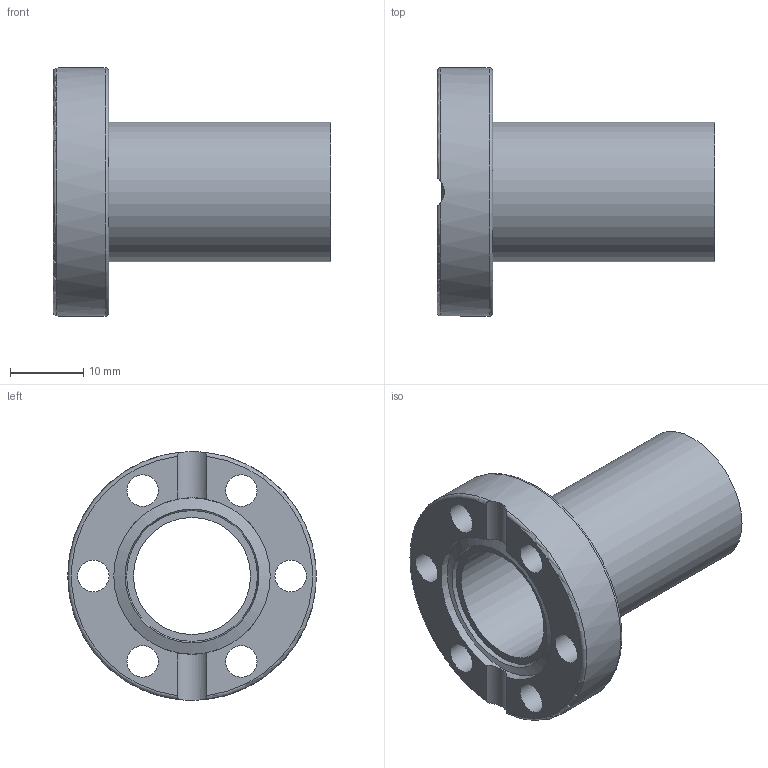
import cadquery as cq

total_length = 38.0
flange_diameter = 34.0
flange_thickness = 7.6
flange_edge_radius = 0.5
tube_diameter = 19.05
bore_diameter = 16.0

recess_diameter = 21.4
recess_depth = 1.2
knife_edge_diameter = 18.3
knife_edge_depth = 0.62
knife_base_diameter = 17.9
knife_base_depth = recess_depth

bolt_count = 6
bolt_circle_diameter = 27.0
bolt_hole_diameter = 4.3

groove_width = 4.0
groove_depth = 1.0
groove_radius = (groove_width**2 / 4 + groove_depth**2) / (2 * groove_depth)


def make_body():
    """Flange with rounded rims and a plain tube behind it."""
    flange = cq.Workplane("YZ").circle(flange_diameter / 2).extrude(flange_thickness)
    flange = flange.edges().fillet(flange_edge_radius)
    tube = cq.Workplane("YZ").circle(tube_diameter / 2).extrude(total_length)
    return flange.union(tube)


def make_grooves():
    """Round-bottomed channel along Z, interrupted over the recess so the knife edge stays whole."""
    channel = (
        cq.Workplane("XY", origin=(groove_depth - groove_radius, 0, 0))
        .circle(groove_radius)
        .extrude(flange_diameter / 2, both=True)
    )
    recess_core = cq.Workplane("YZ").circle(recess_diameter / 2).extrude(groove_depth)
    return channel.cut(recess_core)


def make_bore_and_recess():
    """Revolved cutter: through bore, floor inside the knife edge, cone and recess wall."""
    half_profile = [
        (0, 0),
        (0, recess_diameter / 2),
        (recess_depth, recess_diameter / 2),
        (knife_edge_depth, knife_edge_diameter / 2),
        (knife_base_depth, knife_base_diameter / 2),
        (knife_base_depth, bore_diameter / 2),
        (total_length, bore_diameter / 2),
        (total_length, 0),
    ]
    return cq.Workplane("XY").polyline(half_profile).close().revolve(360, (0, 0, 0), (1, 0, 0))


def make_bolt_holes():
    """Evenly spaced through holes, the first one on the Y axis."""
    return (
        cq.Workplane("YZ")
        .polarArray(bolt_circle_diameter / 2, 0, 360, bolt_count)
        .circle(bolt_hole_diameter / 2)
        .extrude(flange_thickness)
    )


result = make_body().cut(make_grooves()).cut(make_bore_and_recess()).cut(make_bolt_holes())